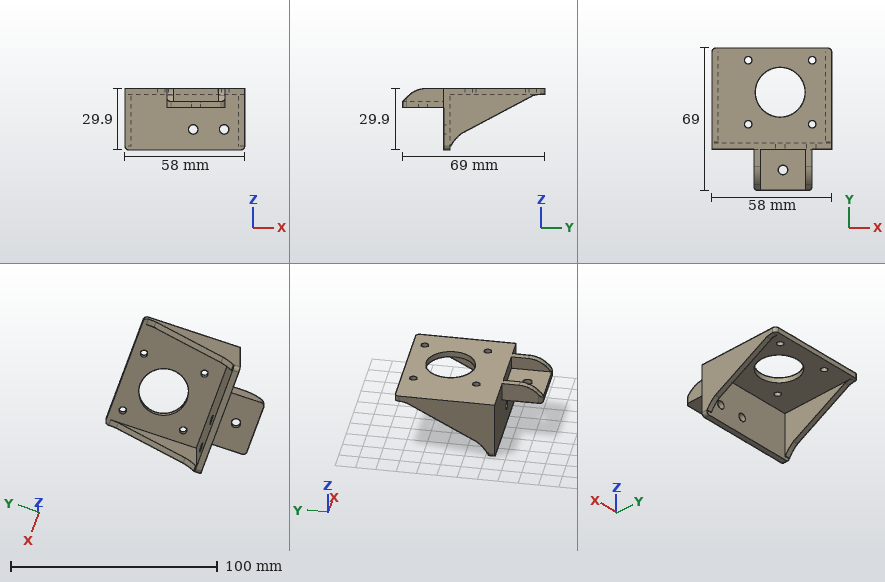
import cadquery as cq
import math

overall_depth = 69.0
width = 58.0
height = 29.9
plate_depth = 49.1
plate_thickness = 3.0
wall_thickness = 3.2
gusset_thickness = 3.0
corner_radius = 2.0

upper_curve_middle = (45.25, -3.1)
slope_top = (43.2, -3.6)
slope_bottom = (8.8, -21.8)
lower_curve_middle = (5.7, -24.6)
gusset_foot = 3.5

motor_x = 33.05
motor_y = 27.7
motor_bore = 24.0
motor_hole_spacing = 31.0
motor_hole_diameter = 3.5

mount_hole_diameter = 4.5
wall_hole_spacing = 15.0
wall_hole_z = -19.9

tray_left = 20.3
tray_width = 28.2
tray_length = overall_depth - plate_depth
tray_height = 9.3
tray_floor = 2.9
tray_side = 3.2
tray_straight = 8.35
tray_slope_height = 2.9
tray_hole_y = -tray_length / 2


def make_plate():
    """Horizontal plate with rounded rear corners."""
    plate = cq.Workplane("XY").box(width, plate_depth, plate_thickness, centered=False)
    plate = plate.translate((0, 0, -plate_thickness))
    return plate.edges("|Z and >Y").fillet(corner_radius)


def make_wall():
    """Vertical wall with rounded lower corners."""
    wall = cq.Workplane("XY").box(width, wall_thickness, height, centered=False)
    wall = wall.translate((0, 0, -height))
    return wall.edges("|Y and <Z").fillet(corner_radius)


def make_gusset(left):
    """Side rib under the plate, with a blend at each end of its sloping edge."""
    plate_end = (plate_depth - corner_radius, -plate_thickness)
    wall_end = (gusset_foot, corner_radius - height)
    return (
        cq.Workplane("YZ", origin=(left, 0, 0))
        .lineTo(plate_end[0], 0)
        .lineTo(*plate_end)
        .threePointArc(upper_curve_middle, slope_top)
        .lineTo(*slope_bottom)
        .threePointArc(lower_curve_middle, wall_end)
        .lineTo(0, wall_end[1])
        .close()
        .extrude(gusset_thickness)
    )


def make_tray():
    """Open-fronted tray whose sides curve down to a 45 degree slope."""
    slope_start_y = -tray_length + tray_slope_height
    slope_end_z = tray_floor - tray_height
    curve_radius = (-tray_straight - slope_start_y) / math.sin(math.radians(45))
    half_angle = math.radians(22.5)
    curve_middle = (
        -tray_straight - curve_radius * math.sin(half_angle),
        -curve_radius * (1 - math.cos(half_angle)),
    )
    tray = (
        cq.Workplane("YZ", origin=(tray_left, 0, 0))
        .lineTo(-tray_straight, 0)
        .threePointArc(curve_middle, (slope_start_y, slope_end_z + tray_slope_height))
        .lineTo(-tray_length, slope_end_z)
        .lineTo(-tray_length, -tray_height)
        .lineTo(0, -tray_height)
        .close()
        .extrude(tray_width)
        .edges("|Z and <Y")
        .fillet(corner_radius)
    )
    pocket = (
        cq.Workplane("XY")
        .box(tray_width - 2 * tray_side, tray_length, tray_height, centered=False)
        .translate((tray_left + tray_side, -tray_length, slope_end_z))
    )
    hole = vertical_holes([(tray_left + tray_width / 2, tray_hole_y)], mount_hole_diameter)
    return tray.cut(pocket).cut(hole)


def vertical_holes(points, diameter):
    """Round cutters running down through the full height."""
    return cq.Workplane("XY").pushPoints(points).circle(diameter / 2).extrude(-height)


bracket = make_plate().union(make_wall())
for gusset_left in (0, width - gusset_thickness):
    bracket = bracket.union(make_gusset(gusset_left))

half_spacing = motor_hole_spacing / 2
motor_holes = [
    (motor_x + side * half_spacing, motor_y + end * half_spacing)
    for side in (-1, 1)
    for end in (-1, 1)
]
bracket = bracket.cut(vertical_holes([(motor_x, motor_y)], motor_bore))
bracket = bracket.cut(vertical_holes(motor_holes, motor_hole_diameter))

wall_holes = (
    cq.Workplane("XZ")
    .pushPoints([(motor_x, wall_hole_z), (motor_x + wall_hole_spacing, wall_hole_z)])
    .circle(mount_hole_diameter / 2)
    .extrude(-wall_thickness)
)
result = bracket.cut(wall_holes).union(make_tray())